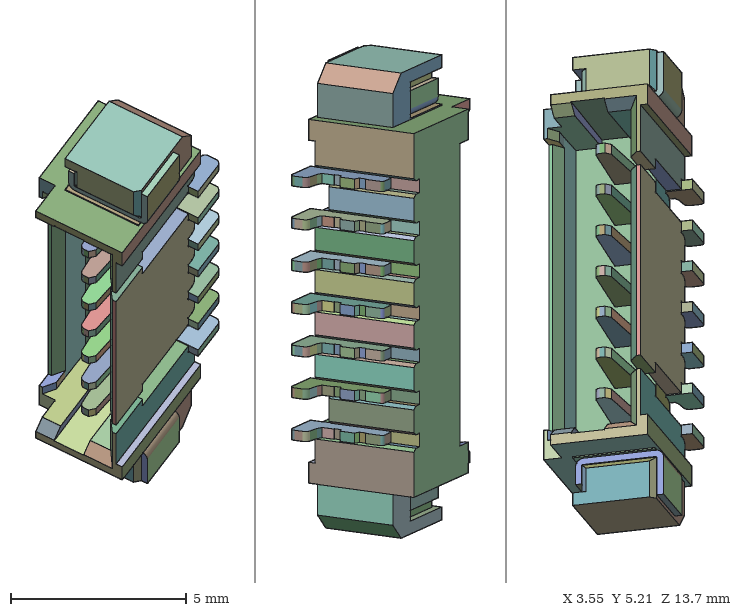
import cadquery as cq


total_length = 13.72
half_length = total_length / 2
total_width = 3.55

housing_half = 5.36
end_wall_width = 3.43
panel_outer_x = 3.22
housing_depth = 4.31
end_wall_x = 0.54
foot_half = 4.75

low_wall_depth = 2.75
shoulder_depth = 3.24
shoulder_half = 4.46
lip_width = 0.11
lip_bevel_depth = 0.35

cavity_left_x = 0.35
floor_left_x = 0.37
floor_right_x = 2.77
cavity_right_x = 2.83
cavity_half = 4.77
floor_depth = 1.32
mouth_bevel = 0.27
mouth_bevel_depth = 0.35

groove_left_x = 1.15
groove_right_x = 2.14
groove_front_half = 5.08
groove_floor_half = 5.01

slot_half_width = 0.2
slot_window_half = 0.51
slot_window_depth = 2.85

contact_count = 7
pitch = 1.25
contact_thickness = 0.3
notch_width = 0.4
notch_mouth_width = 0.58
notch_depth = 0.34
notch_bevel_depth = 0.14
pin_root_left_x = 1.54
pin_root_right_x = 2.35
pin_shoulder_right_x = 2.15
pin_tip_left_x = 1.72
pin_tip_right_x = 2.0
pin_tip_depth = 3.81
pin_tip_radius = 0.15
pin_shoulder_depth = 3.65
lead_left_x = 0.86
lead_toe_bevel = 0.14
lead_toe_radius = 0.08
lead_height = 0.25
dip_height = 0.2
left_dip_x = 1.44
right_dip_x = 2.47
bump_height = 0.37
bump_left_x = 1.66
bump_right_x = 2.26
bump_flank = 0.07
tail_height = 0.9
tail_bend_x = 2.85
tail_bend_end_x = 2.92
tail_bend_height = 0.41
tail_top_left_x = 2.98
tail_radius = 0.16

block_left_x = 0.86
block_right_x = 3.32
block_back_depth = 0.33
block_bevel = 0.5
core_left_x = 1.1
core_bevel = 0.16
pocket_top = 6.48
clip_back_depth = 1.37
clip_front_depth = 3.13
clip_left_x = 0.92
clip_right_inner_x = 3.35
clip_base = 5.4
clip_inner_base = 5.6
clip_short_top = 6.19
clip_long_top = 6.78
clip_outer_radius = 0.23
clip_inner_radius = 0.05

contact_heights = [(i - (contact_count - 1) / 2) * pitch for i in range(contact_count)]
slot_heights = [side * (contact_count - 2) / 2 * pitch for side in (-1, 1)]


def box(x0, x1, depth0, depth1, z0, z1):
    """Block between two X, two depths and two Z."""
    return cq.Workplane("XY").box(x1 - x0, depth1 - depth0, z1 - z0, centered=False).translate(
        (x0, -depth1, z0)
    )


def plate(points, z0, z1):
    """Prism along Z from an outline of (x, y) points."""
    return cq.Workplane("XY").workplane(offset=z0).polyline(points).close().extrude(z1 - z0)


def both_ends(solid):
    """The solid together with its mirror image about mid length."""
    return solid.union(solid.mirror("XY"))


def make_housing():
    low_side = box(0, panel_outer_x, 0, low_wall_depth, -shoulder_half, shoulder_half)
    tall_wall = box(cavity_left_x, panel_outer_x, 0, housing_depth, -housing_half, housing_half)
    tall_wall = tall_wall.cut(
        box(cavity_left_x, end_wall_x, low_wall_depth, housing_depth, -housing_half, housing_half)
    )
    shoulder = box(0, end_wall_x, 0, shoulder_depth, shoulder_half, housing_half)
    foot = box(cavity_left_x, end_wall_width, 0, shoulder_depth, foot_half, housing_half)
    foot = foot.union(box(end_wall_x, end_wall_width, 0, housing_depth, foot_half, housing_half))
    return low_side.union(tall_wall).union(both_ends(shoulder.union(foot)))


def cavity():
    """Rectangular cavity whose mouth flares towards the tall wall and both end walls."""
    space = plate(
        [
            (floor_left_x, -floor_depth),
            (floor_right_x, -floor_depth),
            (cavity_right_x, mouth_bevel_depth - housing_depth),
            (cavity_right_x, -housing_depth),
            (cavity_left_x, -housing_depth),
            (cavity_left_x, lip_bevel_depth - low_wall_depth),
        ],
        -cavity_half,
        cavity_half,
    )
    throat_width = cavity_right_x - end_wall_x
    throat_middle = end_wall_x + throat_width / 2
    flare = (
        cq.Workplane("XZ", origin=(throat_middle + mouth_bevel / 2, -housing_depth, 0))
        .rect(throat_width + mouth_bevel, 2 * (cavity_half + mouth_bevel))
        .workplane(offset=-mouth_bevel_depth)
        .center(-mouth_bevel / 2, 0)
        .rect(throat_width, 2 * cavity_half)
        .loft(ruled=True)
    )
    return space.union(flare)


def lip_bevel(front_depth, z0, z1):
    """Cut that slopes the inner edge of the low wall."""
    points = [
        (lip_width, -front_depth),
        (cavity_left_x, -front_depth),
        (cavity_left_x, lip_bevel_depth - front_depth),
    ]
    return plate(points, z0, z1)


def groove():
    """Tapered groove, shallower towards the cavity floor."""
    return (
        cq.Workplane("YZ", origin=(groove_left_x, 0, 0))
        .polyline(
            [
                (-floor_depth, 0),
                (-floor_depth, groove_floor_half),
                (-housing_depth, groove_front_half),
                (-housing_depth, 0),
            ]
        )
        .close()
        .extrude(groove_right_x - groove_left_x)
    )


def wall_slot(z):
    gap = box(floor_right_x, panel_outer_x, 0, housing_depth, z - slot_half_width, z + slot_half_width)
    window_bottom = z - slot_window_half
    window_top = z + slot_window_half
    window = box(floor_right_x, panel_outer_x, 0, slot_window_depth, window_bottom, window_top)
    return gap.union(window)


def lead_notch(z):
    """Notch across the back of the housing with a flared mouth."""
    half = notch_width / 2
    mouth_half = notch_mouth_width / 2
    return (
        cq.Workplane("YZ")
        .polyline(
            [
                (0, z - mouth_half),
                (-notch_bevel_depth, z - half),
                (-notch_depth, z - half),
                (-notch_depth, z + half),
                (-notch_bevel_depth, z + half),
                (0, z + mouth_half),
            ]
        )
        .close()
        .extrude(end_wall_width)
    )


def contact(z):
    """Solder lead at the back and tapered pin inside the cavity."""
    z0 = z - contact_thickness / 2
    z1 = z + contact_thickness / 2
    lead_points = [
        (lead_left_x + lead_toe_bevel, -notch_depth),
        (lead_left_x, lead_toe_bevel - notch_depth),
        (lead_left_x, lead_height),
        (left_dip_x, lead_height),
        (left_dip_x, dip_height),
        (bump_left_x, dip_height),
        (bump_left_x + bump_flank, bump_height),
        (bump_right_x - bump_flank, bump_height),
        (bump_right_x, dip_height),
        (right_dip_x, dip_height),
        (right_dip_x, lead_height),
        (tail_bend_x, lead_height),
        (tail_bend_end_x, tail_bend_height),
        (tail_top_left_x, tail_height),
        (total_width, tail_height),
        (total_width, -notch_depth),
    ]
    lead = plate(lead_points, z0, z1)
    lead = lead.edges("|Z and >Y").fillet(tail_radius)
    toe_corner = cq.NearestToPointSelector((lead_left_x, lead_height, z))
    lead = lead.edges("|Z").edges(toe_corner).fillet(lead_toe_radius)
    pin_points = [
        (pin_root_left_x, -floor_depth),
        (pin_tip_left_x, -pin_tip_depth),
        (pin_tip_right_x, -pin_tip_depth),
        (pin_shoulder_right_x, -pin_shoulder_depth),
        (pin_root_right_x, -floor_depth),
    ]
    pin = plate(pin_points, z0, z1)
    rounded_corner = cq.NearestToPointSelector((pin_tip_left_x, -pin_tip_depth, z))
    pin = pin.edges("|Z").edges(rounded_corner).fillet(pin_tip_radius)
    return lead.union(pin)


def end_block():
    """Block above the end wall, cut back where the clip wraps around it."""
    block = box(block_left_x, block_right_x, block_back_depth, shoulder_depth, housing_half, half_length)
    block = block.edges("|X and >Y and >Z").chamfer(block_bevel)
    recess = box(block_left_x, block_right_x, clip_back_depth, shoulder_depth, housing_half, pocket_top)
    base = box(block_left_x, block_right_x, clip_back_depth, shoulder_depth, housing_half, clip_base)
    core = box(core_left_x, block_right_x, clip_back_depth, shoulder_depth, clip_inner_base, half_length)
    core = core.faces("<Y").edges("<X or >X or <Z").chamfer(core_bevel)
    core_top = box(block_left_x, block_right_x, clip_back_depth, shoulder_depth, pocket_top, half_length)
    right_edge = plate(
        [
            (block_right_x - core_bevel, -shoulder_depth),
            (block_right_x, -shoulder_depth),
            (block_right_x, core_bevel - shoulder_depth),
        ],
        pocket_top,
        half_length,
    )
    return block.cut(recess).union(base).union(core).union(core_top).cut(right_edge)


def clip():
    """Bent strip: short arm, base along the end wall and long soldering arm."""
    strip = box(clip_left_x, total_width, clip_back_depth, clip_front_depth, clip_base, clip_long_top)
    strip = strip.edges("|Y and <Z").fillet(clip_outer_radius)
    opening = box(
        core_left_x, clip_right_inner_x, clip_back_depth, clip_front_depth, clip_inner_base, clip_long_top
    )
    opening = opening.edges("|Y and <Z").fillet(clip_inner_radius)
    short_arm_end = box(
        clip_left_x, core_left_x, clip_back_depth, clip_front_depth, clip_short_top, clip_long_top
    )
    return strip.cut(opening).cut(short_arm_end)


result = make_housing().cut(cavity())
result = result.cut(lip_bevel(low_wall_depth, -shoulder_half, shoulder_half))
result = result.cut(both_ends(lip_bevel(shoulder_depth, shoulder_half, cavity_half)))
result = result.cut(both_ends(groove()))
for slot_z in slot_heights:
    result = result.cut(wall_slot(slot_z))
for contact_z in contact_heights:
    result = result.cut(lead_notch(contact_z)).union(contact(contact_z))
result = result.union(both_ends(end_block().union(clip())))